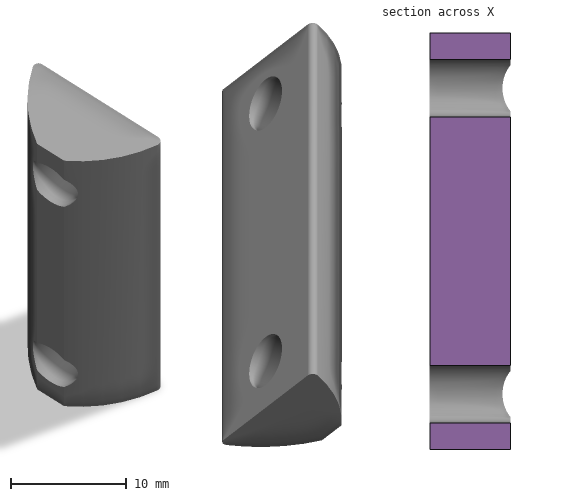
import cadquery as cq
import math

width = 13.7
depth = 7.0
length = 36.0

front_flat_width = 2.95
flank_radius = 13.68
corner_radius = 0.5

hole_diameter = 4.95
hole_spacing = 26.42

half_width = width / 2
half_flat = front_flat_width / 2
back_y = depth / 2
front_y = -depth / 2

corner_x = half_width - corner_radius
corner_y = back_y - corner_radius


def flank_center():
    """Center of the right flank arc: through the front flat's end, tangent to the corner arc."""
    span_x = corner_x - half_flat
    span_y = corner_y - front_y
    span = math.hypot(span_x, span_y)
    inner_radius = flank_radius - corner_radius
    along = (flank_radius**2 - inner_radius**2 + span**2) / (2 * span)
    offset = math.sqrt(flank_radius**2 - along**2)
    x = half_flat + (along * span_x - offset * span_y) / span
    y = front_y + (along * span_y + offset * span_x) / span
    return x, y


def point_on_circle(center, radius, angle):
    return center[0] + radius * math.cos(angle), center[1] + radius * math.sin(angle)


def mirrored(point):
    return -point[0], point[1]


def make_bar():
    center = flank_center()
    start_angle = math.atan2(front_y - center[1], half_flat - center[0])
    end_angle = math.atan2(corner_y - center[1], corner_x - center[0])
    flank_mid = point_on_circle(center, flank_radius, (start_angle + end_angle) / 2)
    flank_end = point_on_circle(center, flank_radius, end_angle)
    corner_mid_angle = (end_angle + math.pi / 2) / 2
    corner_mid = point_on_circle((corner_x, corner_y), corner_radius, corner_mid_angle)
    corner_end = (corner_x, back_y)
    return (
        cq.Workplane("XY")
        .moveTo(-half_flat, front_y)
        .lineTo(half_flat, front_y)
        .threePointArc(flank_mid, flank_end)
        .threePointArc(corner_mid, corner_end)
        .lineTo(-corner_x, back_y)
        .threePointArc(mirrored(corner_mid), mirrored(flank_end))
        .threePointArc(mirrored(flank_mid), (-half_flat, front_y))
        .close()
        .extrude(length)
    )


def make_holes():
    mid_length = length / 2
    return (
        cq.Workplane("XZ", origin=(0, back_y, mid_length))
        .pushPoints([(0, -hole_spacing / 2), (0, hole_spacing / 2)])
        .circle(hole_diameter / 2)
        .extrude(depth)
    )


result = make_bar().cut(make_holes())